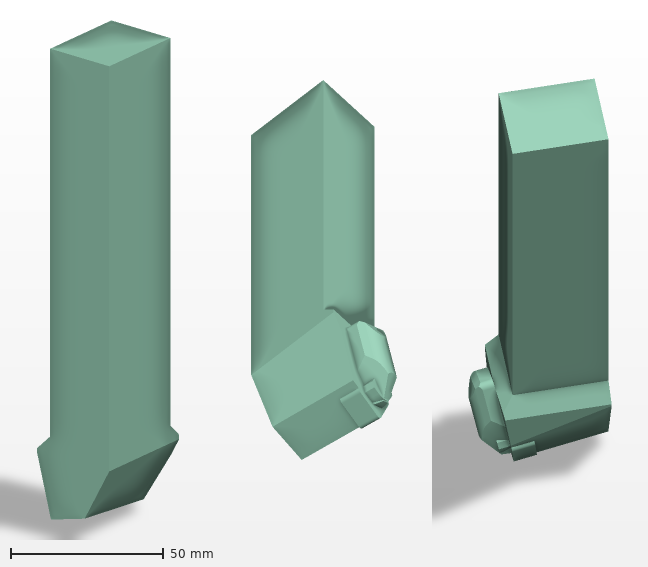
import cadquery as cq
import math

total_length = 171.3
head_width = 30.5
shank_width = 24.8
shank_depth = 32.0

head_chamfer_top = 34.3
chamfer_run = head_width - shank_width
relief_top = 28.1
relief_angle = 28.2
head_overlength = 17.1
head_step = 4.6

corner_x = 2.9
corner_y = shank_depth
corner_z = -0.3
diagonal_angle = 30.0
rake_angle = 8.4
flank_setback = 0.95
flank_reach = 256.9

insert_side = 12.7
insert_thickness = 7.9
insert_radius = 1.6

breaker_setback = 3.6
breaker_side = 8.9
breaker_thickness = 4.0
breaker_nose_radius = 4.5
breaker_corner_chamfer = 1.7

clamp_end = 34.0
clamp_half_width = 6.7
clamp_offset = -0.7
clamp_height = 8.9
clamp_nose = 5.1
clamp_nose_height = 3.5
clamp_tip_half_width = 0.5
clamp_slope_end = 13.4
clamp_taper_angle = 20.0
clamp_taper_lean = 17.0
clamp_wall = 4.1
clamp_shoulder = 6.3
clamp_bevel = 1.5
clamp_crown_rear = 27.4
clamp_corner_radius = 2.2


def rake_plane():
    """Plane with x along the diagonal of the insert, y across it and z out of the rake face."""
    turn = math.radians(diagonal_angle)
    tilt = math.radians(rake_angle)
    along = (math.sin(turn) * math.cos(tilt), math.sin(tilt), math.cos(turn) * math.cos(tilt))
    outward = (-math.sin(turn) * math.sin(tilt), math.cos(tilt), -math.cos(turn) * math.sin(tilt))
    return cq.Plane(origin=(corner_x, corner_y, corner_z), xDir=along, normal=outward)


def on_rake_face(body):
    """Move a body that is modelled flat on XY onto the rake face."""
    return cq.Workplane(body.val().moved(rake_plane().location))


def corner_square(start, side):
    """Square on XY with one corner at x = start and a diagonal along X."""
    half = side / math.sqrt(2)
    corners = [(start, 0), (start + half, -half), (start + 2 * half, 0), (start + half, half)]
    return cq.Workplane("XY").polyline(corners).close()


def make_insert():
    """Square cutting insert with rounded corners, its top flush with the rake face."""
    body = corner_square(0, insert_side).extrude(-insert_thickness)
    return on_rake_face(body.edges("|Z").fillet(insert_radius))


def make_breaker():
    """Plate on the insert, with its edges parallel to the insert and a rounded nose."""
    body = corner_square(breaker_setback, breaker_side).extrude(breaker_thickness)
    body = body.edges("|Z and <X").fillet(breaker_nose_radius)
    body = body.edges("|Z and (<Y or >Y)").chamfer(breaker_corner_chamfer)
    return on_rake_face(body)


def make_clamp():
    """Bar with a crowned, bevelled top, a sloping front and a nose that tapers towards the tip."""
    plan = (
        cq.Workplane("XY")
        .box(clamp_end, 2 * clamp_half_width, clamp_height, centered=(False, True, False))
        .edges("|Z and >X")
        .fillet(clamp_corner_radius)
    )
    side_profile = (
        cq.Workplane("XZ")
        .moveTo(clamp_nose, 0)
        .lineTo(clamp_nose, clamp_nose_height)
        .lineTo(clamp_slope_end, clamp_height)
        .lineTo(clamp_crown_rear, clamp_height)
        .lineTo(clamp_end - clamp_bevel, clamp_shoulder)
        .lineTo(clamp_end, clamp_wall)
        .lineTo(clamp_end, 0)
        .close()
        .extrude(clamp_half_width, both=True)
    )
    shoulder_half = clamp_half_width - clamp_bevel
    cross_profile = (
        cq.Workplane("YZ")
        .moveTo(-clamp_half_width, 0)
        .lineTo(-clamp_half_width, clamp_wall)
        .lineTo(-shoulder_half, clamp_shoulder)
        .threePointArc((0, clamp_height), (shoulder_half, clamp_shoulder))
        .lineTo(clamp_half_width, clamp_wall)
        .lineTo(clamp_half_width, 0)
        .close()
        .extrude(clamp_end)
    )
    widening = math.tan(math.radians(clamp_taper_angle))
    far_end = 2 * clamp_end
    far_half_width = clamp_tip_half_width + far_end * widening
    nose = (
        cq.Workplane("XY")
        .moveTo(0, -clamp_tip_half_width)
        .lineTo(far_end, -far_half_width)
        .lineTo(far_end, far_half_width)
        .lineTo(0, clamp_tip_half_width)
        .close()
        .extrude(clamp_height, taper=clamp_taper_lean)
    )
    body = plan.intersect(side_profile).intersect(cross_profile).intersect(nose)
    return on_rake_face(body.translate((0, clamp_offset, 0)))


def make_holder_blank():
    """Shank and head, with the rake face and the two flanks square to it."""
    shoulder_z = head_chamfer_top - chamfer_run
    relief_run = (relief_top + head_overlength) * math.tan(math.radians(relief_angle))
    front_outline = (
        cq.Workplane("XZ")
        .moveTo(chamfer_run, total_length)
        .lineTo(head_width, total_length)
        .lineTo(head_width, relief_top)
        .lineTo(head_width - relief_run, -head_overlength)
        .lineTo(0, -head_overlength)
        .lineTo(0, shoulder_z)
        .lineTo(chamfer_run, head_chamfer_top)
        .close()
        .extrude(-shank_depth - head_step)
    )
    side_outline = (
        cq.Workplane("YZ")
        .moveTo(0, -head_overlength)
        .lineTo(0, total_length)
        .lineTo(shank_depth, total_length)
        .lineTo(shank_depth, head_chamfer_top)
        .lineTo(shank_depth + head_step, head_chamfer_top - head_step)
        .lineTo(shank_depth + head_step, -head_overlength)
        .close()
        .extrude(head_width)
    )
    flanks = corner_square(flank_setback * math.sqrt(2), flank_reach).extrude(-flank_reach)
    return front_outline.intersect(side_outline).intersect(on_rake_face(flanks))


def make_holder(seated_insert):
    """Holder with the seat for the insert; the clamp and the chip breaker are part of it."""
    return make_holder_blank().cut(seated_insert).union(make_clamp()).union(make_breaker())


insert = make_insert()
holder = make_holder(insert)
result = cq.Compound.makeCompound([holder.solids().val(), insert.solids().val()])